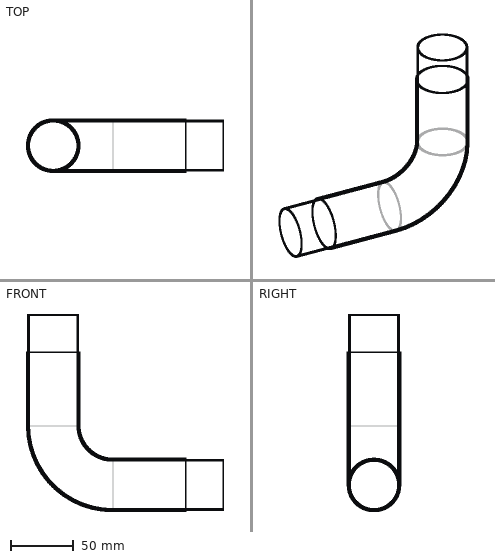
import cadquery as cq

overall_length = 157.2
sleeve_diameter = 42.5
pipe_diameter = 40.4
bore_diameter = 38.4
bend_radius = 47.5
pipe_projection = 30.0

pipe_reach = overall_length - sleeve_diameter / 2
sleeve_reach = pipe_reach - pipe_projection


def bent_axis(reach):
    """Path down the vertical leg, round the bend and out along +X."""
    return (
        cq.Workplane("XZ")
        .moveTo(0, reach)
        .lineTo(0, bend_radius)
        .radiusArc((bend_radius, 0), -bend_radius)
        .lineTo(reach, 0)
    )


def bent_tube(outer_diameter, inner_diameter, reach):
    """Hollow tube swept along the bent axis, open at both ends."""
    return (
        cq.Workplane("XY", origin=(0, 0, reach))
        .circle(outer_diameter / 2)
        .circle(inner_diameter / 2)
        .sweep(bent_axis(reach))
    )


pipe = bent_tube(pipe_diameter, bore_diameter, pipe_reach)

sleeve = bent_tube(sleeve_diameter, pipe_diameter, sleeve_reach)

result = cq.Compound.makeCompound([pipe.val(), sleeve.val()])